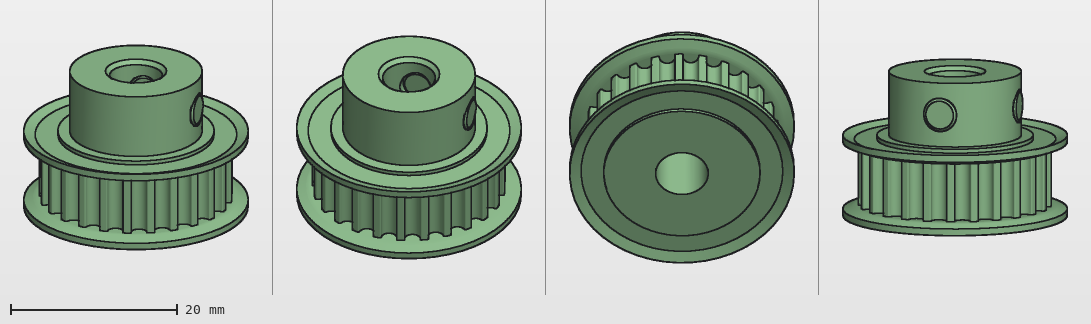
import cadquery as cq
import math

flange_radius = 13.45
total_height = 17.55
pulley_height = 9.8

hub_radius = 7.94
bore_radius = 3.15
bore_chamfer = 0.5

flange_height = 1.35
rim_height = 0.83
recess_depth = 0.48
recess_radius = 12.08
collar_radius = 9.35
bend_radius = 2.02
core_inset = (recess_depth + flange_height) / 2
cone_angle = math.atan(recess_depth / (flange_radius - recess_radius))

tooth_count = 25
tooth_tip_radius = 11.57
groove_depth = 1.26
groove_radius = 0.95
lip_radius = 0.15

screw_radius = 2.02
screw_chamfer = 0.32
screw_height = 13.65
screw_inner_end = 3.23


def make_flange():
    """Lower flange: flat recess outside, cone and rounded bend towards the teeth."""
    cone_drop_radius = (flange_height - rim_height) / math.tan(cone_angle)
    flat_corner = flange_radius - cone_drop_radius
    tangent_length = bend_radius * math.tan(cone_angle / 2)
    flat_end = flat_corner - tangent_length
    bend_centre_z = flange_height - bend_radius
    bend_mid = (
        flat_end + bend_radius * math.sin(cone_angle / 2),
        bend_centre_z + bend_radius * math.cos(cone_angle / 2),
    )
    cone_start = (
        flat_end + bend_radius * math.sin(cone_angle),
        bend_centre_z + bend_radius * math.cos(cone_angle),
    )
    profile = (
        cq.Workplane("XZ")
        .moveTo(0, 0)
        .lineTo(collar_radius, 0)
        .lineTo(collar_radius, recess_depth)
        .lineTo(recess_radius, recess_depth)
        .lineTo(flange_radius, 0)
        .lineTo(flange_radius, rim_height)
        .lineTo(*cone_start)
        .threePointArc(bend_mid, (flat_end, flange_height))
        .lineTo(0, flange_height)
        .close()
    )
    return profile.revolve(360, (0, 0, 0), (0, 1, 0))


def make_groove():
    """Cutter for the groove on the +Y side: round bottom, straight walls, rounded lips."""
    centre_y = tooth_tip_radius - groove_depth + groove_radius
    lip_x = groove_radius + lip_radius
    lip_centre_distance = tooth_tip_radius - lip_radius
    lip_y = math.sqrt(lip_centre_distance**2 - lip_x**2)
    tip_scale = tooth_tip_radius / lip_centre_distance
    tip_x = lip_x * tip_scale
    tip_y = lip_y * tip_scale
    lip_mid_angle = (math.pi + math.atan2(lip_y, lip_x)) / 2
    mid_x = lip_x + lip_radius * math.cos(lip_mid_angle)
    mid_y = lip_y + lip_radius * math.sin(lip_mid_angle)
    outer_y = tooth_tip_radius + lip_radius
    return (
        cq.Workplane("XY")
        .moveTo(-tip_x, outer_y)
        .lineTo(-tip_x, tip_y)
        .threePointArc((-mid_x, mid_y), (-groove_radius, lip_y))
        .lineTo(-groove_radius, centre_y)
        .threePointArc((0, centre_y - groove_radius), (groove_radius, centre_y))
        .lineTo(groove_radius, lip_y)
        .threePointArc((mid_x, mid_y), (tip_x, tip_y))
        .lineTo(tip_x, outer_y)
        .close()
        .extrude(pulley_height)
    )


def make_toothed_core():
    """Toothed rim, ending inside the flange plates."""
    core = (
        cq.Workplane("XY", origin=(0, 0, core_inset))
        .circle(tooth_tip_radius)
        .extrude(pulley_height - 2 * core_inset)
    )
    groove = make_groove()
    for index in range(tooth_count):
        core = core.cut(groove.rotate((0, 0, 0), (0, 0, 1), index * 360 / tooth_count))
    return core


def make_screw_parts():
    """Radial hole along +Y and the set screw in it, chamfered at both ends."""
    plane = cq.Workplane("XZ", origin=(0, 0, screw_height))
    hole = plane.circle(screw_radius).extrude(-flange_radius)
    screw = (
        plane.workplane(offset=-screw_inner_end)
        .circle(screw_radius)
        .extrude(screw_inner_end - hub_radius)
        .faces("|Y")
        .chamfer(screw_chamfer)
    )
    return hole, screw


def make_bore():
    """Through bore with a chamfered mouth at the hub end."""
    mouth_radius = bore_radius + bore_chamfer
    profile = (
        cq.Workplane("XZ")
        .moveTo(0, 0)
        .lineTo(bore_radius, 0)
        .lineTo(bore_radius, total_height - bore_chamfer)
        .lineTo(mouth_radius, total_height)
        .lineTo(0, total_height)
        .close()
    )
    return profile.revolve(360, (0, 0, 0), (0, 1, 0))


lower_flange = make_flange()
upper_flange = lower_flange.mirror("XY").translate((0, 0, pulley_height))
hub = cq.Workplane("XY").circle(hub_radius).extrude(total_height)
body = make_toothed_core().union(lower_flange).union(upper_flange).union(hub)
body = body.cut(make_bore())

screw_hole, screw = make_screw_parts()
for turn in (0, -90):
    body = body.cut(screw_hole.rotate((0, 0, 0), (0, 0, 1), turn))
    body = body.union(screw.rotate((0, 0, 0), (0, 0, 1), turn))

result = body